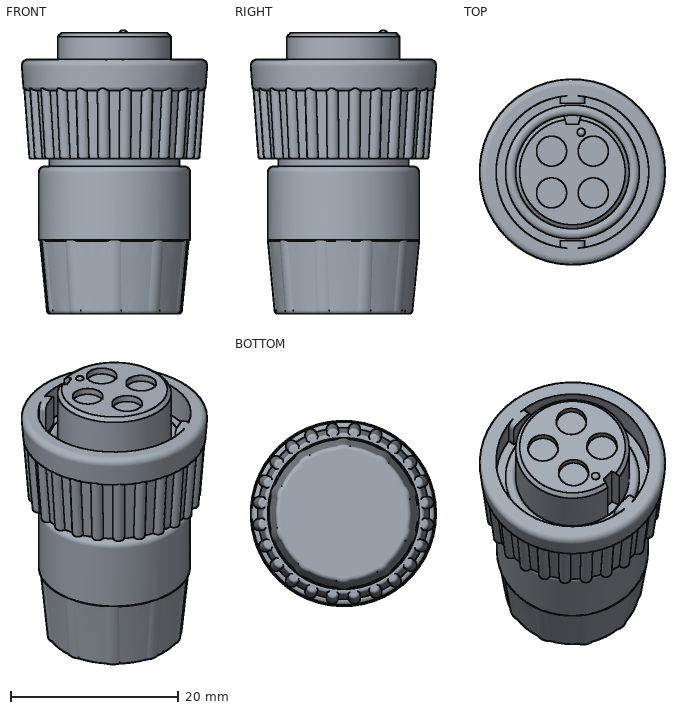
import cadquery as cq

body_bottom_z = 8.87
body_top_z = 17.67
sleeve_bottom_z = 18.55
flange_bottom_z = 26.75
flange_top_z = 30.48
rib_top_z = 27.2
insert_top_z = 33.67
socket_floor_z = 26.4

body_radius = 9.07
neck_radius = 7.8
sleeve_bottom_radius = 10.3
sleeve_top_radius = 11.18
bore_radius = 9.15
insert_radius = 6.8

flange_fillet = 0.78
flange_lower_fillet = 0.5
sleeve_bottom_fillet = 0.3
body_fillet = 0.7
grip_fillet = 0.48
insert_chamfer = 0.48

grip_bottom_radius = 8.05
grip_top_radius = 8.9
grip_rib_count = 10
grip_rib_radius = 1.7
grip_rib_rise = 0.17
grip_rib_start_angle = 360 / grip_rib_count / 2

sleeve_rib_count = 24
sleeve_rib_radius = 0.7
sleeve_rib_rise = 0.65
sleeve_rib_inset = 0.05
sleeve_rib_start_angle = 360 / sleeve_rib_count / 2

seal_wire_radius = 0.6
seal_ring_radius = insert_radius + seal_wire_radius

lug_width = 2.95
lug_inner_radius = 8.22
lug_fillet = 0.78

contact_radius = 1.8
contact_pitch = 5.0
contact_depth = 0.8
keyway_floor_radius = 5.75
keyway_inner_width = 1.45
keyway_outer_width = 2.1
pip_x = 1.05
pip_y = 4.75
pip_radius = 0.48
pip_height = 0.3


def cone(bottom_radius, top_radius, bottom_z, top_z):
    """Upright frustum on the Z axis."""
    height = top_z - bottom_z
    return cq.Workplane("XY").add(
        cq.Solid.makeCone(bottom_radius, top_radius, height, cq.Vector(0, 0, bottom_z))
    )


def cylinder(radius, bottom_z, top_z):
    """Upright cylinder on the Z axis."""
    return cq.Workplane("XY", origin=(0, 0, bottom_z)).circle(radius).extrude(top_z - bottom_z)


def leaning_ribs(count, start_angle, rib_radius, bottom_radius, top_radius, bottom_z, top_z):
    """Ring of round bars whose outer lines lie on the given frustum, cut flat at both its ends."""
    rib_overrun = 1.02
    clip_margin = 0.35
    lean = (top_radius - bottom_radius) / (top_z - bottom_z)
    foot = cq.Vector(bottom_radius - rib_radius - lean * rib_overrun, 0, bottom_z - rib_overrun)
    axis = cq.Vector(lean, 0, 1)
    length = (top_z - bottom_z + 2 * rib_overrun) * axis.Length
    bar = cq.Solid.makeCylinder(rib_radius, length, foot, axis)
    angles = [start_angle + index * 360 / count for index in range(count)]
    bars = [bar.rotate(cq.Vector(0, 0, 0), cq.Vector(0, 0, 1), angle) for angle in angles]
    clip = cylinder(max(bottom_radius, top_radius) + clip_margin, bottom_z, top_z)
    return cq.Workplane(cq.Compound.makeCompound(bars)).intersect(clip)


def make_grip():
    """Tapered lower end with shallow rounded ribs, rounded at the bottom edge and flared at the top."""
    flare = body_radius - grip_top_radius
    core = (
        cq.Workplane("XZ")
        .lineTo(grip_bottom_radius, 0)
        .lineTo(grip_top_radius, body_bottom_z - flare)
        .radiusArc((body_radius, body_bottom_z), flare)
        .lineTo(0, body_bottom_z)
        .close()
        .revolve(360, (0, 0), (0, 1))
    )
    ribs = leaning_ribs(
        grip_rib_count, grip_rib_start_angle, grip_rib_radius,
        grip_bottom_radius + grip_rib_rise, grip_top_radius + grip_rib_rise, 0, body_bottom_z,
    )
    return core.union(ribs).faces("<Z").edges().fillet(grip_fillet)


def make_body():
    """Plain barrel with a rounded shoulder, and the neck above it."""
    barrel = cylinder(body_radius, body_bottom_z, body_top_z).faces(">Z").edges().fillet(body_fillet)
    neck = cylinder(neck_radius, body_top_z, sleeve_bottom_z)
    return barrel.union(neck)


def sleeve_radius(z):
    """Radius of the taper shared by the flange and the ribbed band."""
    taper = (sleeve_top_radius - sleeve_bottom_radius) / (flange_top_z - sleeve_bottom_z)
    return sleeve_bottom_radius + taper * (z - sleeve_bottom_z)


def cut_socket(part):
    """Open the round socket from the flange top down to its floor."""
    return part.cut(cylinder(bore_radius, socket_floor_z, flange_top_z))


def make_flange():
    """Smooth tapered flange at the top of the coupling sleeve."""
    flange = cone(sleeve_radius(flange_bottom_z), sleeve_top_radius, flange_bottom_z, flange_top_z)
    flange = flange.faces(">Z").edges().fillet(flange_fillet)
    flange = flange.faces("<Z").edges().fillet(flange_lower_fillet)
    return cut_socket(flange)


def make_band():
    """Tapered grip band of the coupling sleeve, with half-round ribs and a rounded bottom edge."""
    core = cone(
        sleeve_bottom_radius - sleeve_rib_rise, sleeve_radius(flange_bottom_z) - sleeve_rib_rise,
        sleeve_bottom_z, flange_bottom_z,
    )
    ribs = leaning_ribs(
        sleeve_rib_count, sleeve_rib_start_angle, sleeve_rib_radius,
        sleeve_bottom_radius - sleeve_rib_inset, sleeve_radius(rib_top_z) - sleeve_rib_inset,
        sleeve_bottom_z, rib_top_z,
    )
    band = cut_socket(core).union(ribs)
    return band.faces("<Z").edges().fillet(sleeve_bottom_fillet)


def make_lug(side):
    """Locking lug on the bore wall, with rounded upper corners; side is +1 or -1 along Y."""
    wall_overlap = 0.35
    depth = bore_radius + wall_overlap - lug_inner_radius
    middle_y = side * (lug_inner_radius + depth / 2)
    height = flange_top_z - socket_floor_z
    return (
        cq.Workplane("XY", origin=(0, middle_y, socket_floor_z))
        .rect(lug_width, depth)
        .extrude(height)
        .faces(">Z").edges("|Y").fillet(lug_fillet)
    )


def make_insert():
    """Contact insert with keyway, four blind contact holes and an index pip."""
    insert = cylinder(insert_radius, socket_floor_z, insert_top_z).faces(">Z").edges().chamfer(insert_chamfer)
    keyway = (
        cq.Workplane("XY", origin=(0, 0, socket_floor_z))
        .polyline([
            (-keyway_inner_width / 2, keyway_floor_radius),
            (keyway_inner_width / 2, keyway_floor_radius),
            (keyway_outer_width / 2, insert_radius),
            (-keyway_outer_width / 2, insert_radius),
        ])
        .close()
        .extrude(insert_top_z - socket_floor_z)
    )
    contacts = (
        cq.Workplane("XY", origin=(0, 0, insert_top_z - contact_depth))
        .rarray(contact_pitch, contact_pitch, 2, 2)
        .circle(contact_radius)
        .extrude(contact_depth)
    )
    ball_radius = (pip_radius ** 2 + pip_height ** 2) / (2 * pip_height)
    ball_z = insert_top_z + pip_height - ball_radius
    pip = cq.Workplane("XY", origin=(pip_x, pip_y, ball_z)).sphere(ball_radius)
    return insert.cut(keyway).cut(contacts).union(pip)


def make_seal():
    """Seal ring half sunk in the socket floor."""
    return cq.Workplane("XY").add(
        cq.Solid.makeTorus(seal_ring_radius, seal_wire_radius, cq.Vector(0, 0, socket_floor_z))
    )


socket = make_flange().union(make_insert()).union(make_seal())
for side in (1, -1):
    socket = socket.union(make_lug(side))
cable_end = make_body().union(make_grip())
result = make_band().union(socket).union(cable_end).solids()